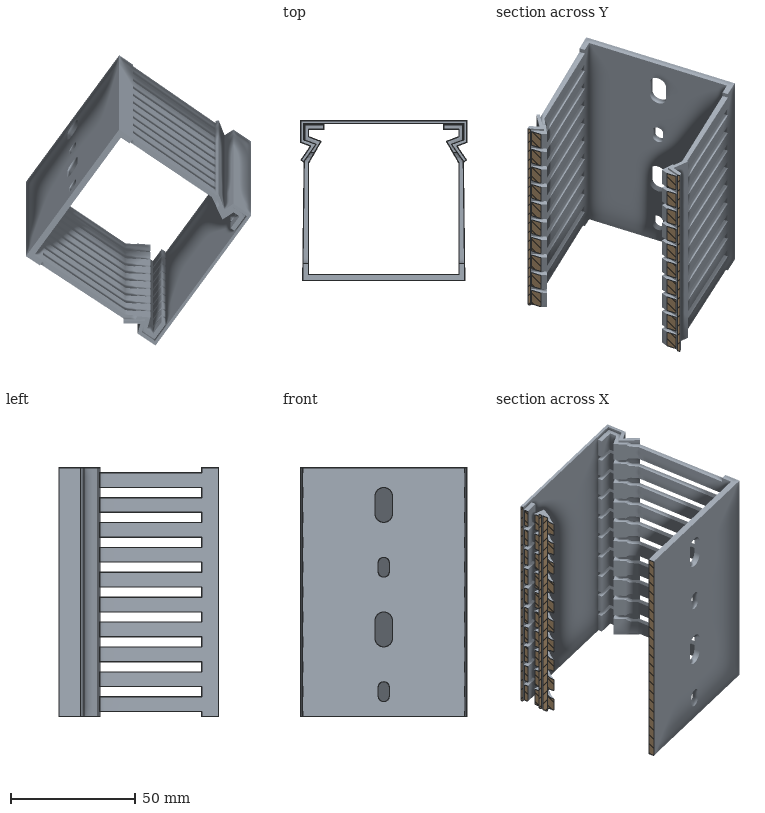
import cadquery as cq

LENGTH = 100.0
DEPTH = 64.2
COVER_HALF_WIDTH = 33.4

COVER_WALL = 1.2
COVER_SIDE_END_Y = 55.5
COVER_CROOK = (29.4, 54.0)
COVER_TIP_OUTER = (33.2, 48.4)
COVER_TIP_INNER = (32.2, 47.6)

FIT_GAP = 0.4
BASE_HALF_WIDTH = 32.6
BASE_THICKNESS = 2.5
WALL_INNER_X = 30.2
WALL_TOP_OUTER_X = 32.0
WALL_BEND_Y = 47.2
V_OUTER = (27.2, 54.7)
V_INNER = (25.2, 55.9)
V_TOP_INNER_Y = 57.8
FLANGE_END_X = 24.1
FLANGE_THICKNESS = 1.9

UPPER_SLOPE = (COVER_SIDE_END_Y - COVER_CROOK[1]) / (COVER_HALF_WIDTH - COVER_CROOK[0])
LOWER_SLOPE = (COVER_TIP_INNER[1] - V_OUTER[1]) / (COVER_TIP_INNER[0] - V_OUTER[0])
FLANGE_OUTER_X = COVER_HALF_WIDTH - COVER_WALL - FIT_GAP
FLANGE_TOP_Y = DEPTH - COVER_WALL - FIT_GAP

SLOT_PITCH = 10.0
SLOT_WIDTH = 4.0
SLOT_START_Y = 6.8
SLOT_ROUND_Y = 49.7
NECK_WIDTH = 2.0

MOUNT_PITCH = 50.0
MOUNT_SLOTS = [(10.0, 8.0, 4.5), (35.0, 14.0, 7.0)]


def contact_y(x, slope):
    """Y of the contact face at x on the V arm with the given slope."""
    return V_OUTER[1] + slope * (x - V_OUTER[0])


def symmetric_extrusion(half_outline):
    """Extrude along Z the closed outline made of a +X half and its mirror image."""
    mirrored = [(-x, y) for x, y in reversed(half_outline)]
    return cq.Workplane("XY").polyline(half_outline + mirrored).close().extrude(LENGTH)


def make_cover():
    """Lid whose sides turn inward to grip the V of the housing walls."""
    inner_x = COVER_HALF_WIDTH - COVER_WALL
    return symmetric_extrusion([
        (COVER_HALF_WIDTH, DEPTH),
        (COVER_HALF_WIDTH, COVER_SIDE_END_Y),
        COVER_CROOK,
        COVER_TIP_OUTER,
        COVER_TIP_INNER,
        V_OUTER,
        (inner_x, contact_y(inner_x, UPPER_SLOPE)),
        (inner_x, DEPTH - COVER_WALL),
    ])


def side_slot(z):
    """Cutter through both walls: wide slot, rounded end and narrow neck."""
    wide = (
        cq.Workplane("XY")
        .box(2 * COVER_HALF_WIDTH, SLOT_ROUND_Y - SLOT_START_Y, SLOT_WIDTH, centered=(True, False, True))
        .translate((0, SLOT_START_Y, z))
    )
    round_end = (
        cq.Workplane("YZ")
        .center(SLOT_ROUND_Y, z)
        .circle(SLOT_WIDTH / 2)
        .extrude(COVER_HALF_WIDTH, both=True)
    )
    neck = (
        cq.Workplane("XY")
        .box(2 * COVER_HALF_WIDTH, DEPTH - SLOT_ROUND_Y, NECK_WIDTH, centered=(True, False, True))
        .translate((0, SLOT_ROUND_Y, z))
    )
    return wide.union(round_end).union(neck)


def mounting_slot(z, length, width):
    """Cutter through the base for a round-ended slot along Z."""
    return (
        cq.Workplane("XZ")
        .center(0, z)
        .slot2D(length, width, 90)
        .extrude(-BASE_THICKNESS)
    )


def make_housing():
    """Channel with slotted walls and a slotted base."""
    flange_bottom_y = FLANGE_TOP_Y - FLANGE_THICKNESS
    body = symmetric_extrusion([
        (BASE_HALF_WIDTH, 0),
        (WALL_TOP_OUTER_X, contact_y(WALL_TOP_OUTER_X, LOWER_SLOPE)),
        V_OUTER,
        (FLANGE_OUTER_X, contact_y(FLANGE_OUTER_X, UPPER_SLOPE)),
        (FLANGE_OUTER_X, FLANGE_TOP_Y),
        (FLANGE_END_X, FLANGE_TOP_Y),
        (FLANGE_END_X, flange_bottom_y),
        (WALL_INNER_X, flange_bottom_y),
        (WALL_INNER_X, V_TOP_INNER_Y),
        V_INNER,
        (WALL_INNER_X, WALL_BEND_Y),
        (WALL_INNER_X, BASE_THICKNESS),
    ])
    for i in range(round(LENGTH / SLOT_PITCH) + 1):
        body = body.cut(side_slot(i * SLOT_PITCH))
    for z, length, width in MOUNT_SLOTS:
        for i in range(round(LENGTH / MOUNT_PITCH)):
            body = body.cut(mounting_slot(z + i * MOUNT_PITCH, length, width))
    return body


cover = make_cover()
housing = make_housing()
result = cq.Compound.makeCompound([cover.val(), housing.val()])